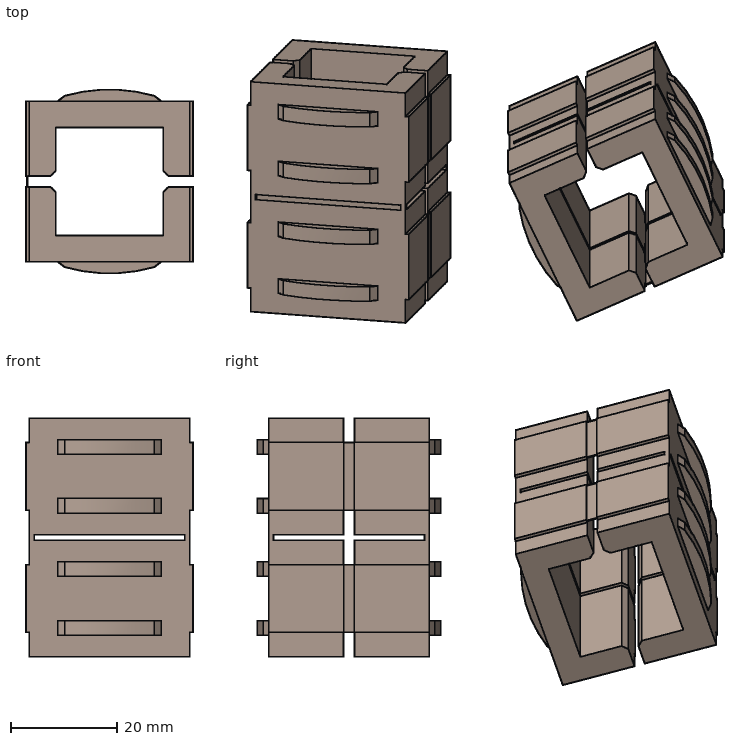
import cadquery as cq

BODY_X = 30.25
BODY_Y = 30.3
HEIGHT = 45.0
WALL = 5.0
SPLIT_GAP = 2.0
LIP_CHAMFER = 1.0

SLOT_HEIGHT = 1.0
CORNER_POST = 0.95

HALF_CENTER_Z = (HEIGHT + SLOT_HEIGHT) / 4

OVERALL_X = 31.5
PAD_STEP = (OVERALL_X - BODY_X) / 2
PAD_HEIGHT = 12.8

WEB_THICKNESS = 0.2
WEB_SETBACK = 0.15

OVERALL_Y = 34.7
RIB_REACH = (OVERALL_Y - BODY_Y) / 2
RIB_SHOULDER = 1.0
RIB_BASE_LENGTH = 19.5
RIB_BOW_LENGTH = 16.9
RIB_HEIGHT = 2.8
RIB_OFFSET_Z = 5.55


def box(size_x, size_y, size_z, center):
    return cq.Workplane("XY").box(size_x, size_y, size_z).translate(center)


def make_channel(side):
    """U-shaped half of the sleeve; side is +1 for +Y and -1 for -Y."""
    outer_x = BODY_X / 2
    inner_x = outer_x - WALL
    outer_y = BODY_Y / 2
    inner_y = outer_y - WALL
    lip_y = SPLIT_GAP / 2
    profile = [
        (-outer_x, lip_y),
        (-outer_x, outer_y),
        (outer_x, outer_y),
        (outer_x, lip_y),
        (inner_x + LIP_CHAMFER, lip_y),
        (inner_x, lip_y + LIP_CHAMFER),
        (inner_x, inner_y),
        (-inner_x, inner_y),
        (-inner_x, lip_y + LIP_CHAMFER),
        (-inner_x - LIP_CHAMFER, lip_y),
    ]
    points = [(x, side * y) for x, y in profile]
    return cq.Workplane("XY").polyline(points).close().extrude(HEIGHT / 2, both=True)


def cut_cross_slot(body):
    """Slot through all four walls, stopping short of the corners."""
    along_x = box(BODY_X - 2 * CORNER_POST, OVERALL_Y, SLOT_HEIGHT, (0, 0, 0))
    along_y = box(OVERALL_X, BODY_Y - 2 * CORNER_POST, SLOT_HEIGHT, (0, 0, 0))
    return body.cut(along_x).cut(along_y)


def make_pad(side_x, side_y, center_z):
    """Raised pad on one side wall of one channel."""
    length = (BODY_Y - SPLIT_GAP) / 2
    depth = PAD_STEP + WALL / 2
    center_x = side_x * (OVERALL_X - depth) / 2
    center_y = side_y * (SPLIT_GAP + length) / 2
    return box(depth, length, PAD_HEIGHT, (center_x, center_y, center_z))


def make_web(center_z):
    """Thin web across the split, between the two pads on the -X side."""
    center_x = -OVERALL_X / 2 + WEB_SETBACK + WEB_THICKNESS / 2
    length = 2 * SPLIT_GAP
    return box(WEB_THICKNESS, length, PAD_HEIGHT, (center_x, 0, center_z))


def make_rib(side, center_z):
    """Rib with slanted ends and a bowed outer face."""
    root_y = side * (BODY_Y - WALL) / 2
    wall_y = side * BODY_Y / 2
    shoulder_y = wall_y + side * RIB_SHOULDER
    crown_y = wall_y + side * RIB_REACH
    base_x = RIB_BASE_LENGTH / 2
    bow_x = RIB_BOW_LENGTH / 2
    return (
        cq.Workplane("XY", origin=(0, 0, center_z))
        .moveTo(-base_x, root_y)
        .lineTo(-base_x, wall_y)
        .lineTo(-bow_x, shoulder_y)
        .threePointArc((0, crown_y), (bow_x, shoulder_y))
        .lineTo(base_x, wall_y)
        .lineTo(base_x, root_y)
        .close()
        .extrude(RIB_HEIGHT / 2, both=True)
    )


result = cut_cross_slot(make_channel(1).union(make_channel(-1)))

for half_z in (-HALF_CENTER_Z, HALF_CENTER_Z):
    for side_y in (-1, 1):
        for side_x in (-1, 1):
            result = result.union(make_pad(side_x, side_y, half_z))
        for rib_z in (half_z - RIB_OFFSET_Z, half_z + RIB_OFFSET_Z):
            result = result.union(make_rib(side_y, rib_z))
    result = result.union(make_web(half_z))